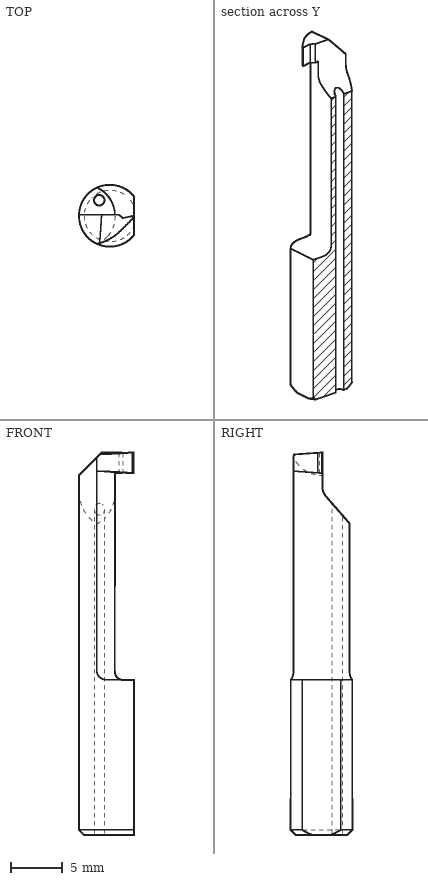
import cadquery as cq
import math

total_length = 37.0
shank_radius = 3.0
flat_x = 2.35
shank_height = 15.0
base_chamfer = 0.5

neck_radius = shank_radius
neck_edge_x = 0.5
neck_fillet = 0.8
neck_axis_x = neck_edge_x - neck_radius
neck_corner_x = neck_axis_x / 2
neck_corner_y = math.sqrt(shank_radius**2 - neck_corner_x**2)

groove_width = 2.0
tip_x = 2.3
tip_y = 0.0
tip_land_end = (2.15, -0.34)
heel_start = (0.8, -1.68)
heel_middle = (-0.25, -2.37)
relief_angle = 4.0
nose_chamfer = 2.2

flat_y = 0.1
flat_bottom_z = 33.65
runout_angle = 41.0
runout_radius = 1.35

chip_start_x = 0.87
chip_valley = (1.25, -0.22)

coolant_x = -1.03
coolant_y = 1.5
coolant_diameter = 1.0

big = 3 * shank_radius


def bar():
    """Full-length round bar with a chamfered base end."""
    body = cq.Workplane("XY").circle(shank_radius).extrude(total_length)
    return body.faces("<Z").chamfer(base_chamfer)


def shank_and_neck():
    """Revolved envelope of ledge, fillet and neck, limited to the bar and its flat."""
    ledge_radius = 2 * big
    bend = neck_fillet * (1 - math.sqrt(0.5))
    profile = (
        cq.Workplane("XZ")
        .moveTo(0, 0)
        .lineTo(ledge_radius, 0)
        .lineTo(ledge_radius, shank_height)
        .lineTo(neck_radius + neck_fillet, shank_height)
        .threePointArc(
            (neck_radius + bend, shank_height + bend),
            (neck_radius, shank_height + neck_fillet),
        )
        .lineTo(neck_radius, total_length)
        .lineTo(0, total_length)
        .close()
    )
    envelope = profile.revolve(360, (0, 0, 0), (0, 1, 0)).translate((neck_axis_x, 0, 0))
    flat_limit = cq.Workplane("XY").box(
        2 * big, 2 * big, total_length, centered=(True, True, False)
    ).translate((flat_x - big, 0, 0))
    return bar().intersect(envelope).intersect(flat_limit)


def head():
    """Tooth whose lower flank rises away from the cutting edge."""
    blank_height = 2 * groove_width
    blank = (
        cq.Workplane("XY")
        .workplane(offset=total_length - blank_height)
        .moveTo(neck_corner_x, flat_y)
        .lineTo(chip_start_x, flat_y)
        .lineTo(*chip_valley)
        .lineTo(tip_x, tip_y)
        .lineTo(*tip_land_end)
        .lineTo(*heel_start)
        .threePointArc(heel_middle, (neck_corner_x, -neck_corner_y))
        .close()
        .extrude(blank_height)
    )
    rise = big * math.tan(math.radians(relief_angle))
    bottom_z = total_length - groove_width
    below = (
        cq.Workplane("YZ")
        .polyline([(big, bottom_z), (0, bottom_z), (-big, bottom_z + rise), (-big, 0), (big, 0)])
        .close()
        .extrude(big, both=True)
    )
    return blank.cut(below)


def top_relief():
    """Wedge that lowers the end face from the cutting edge towards -Y."""
    drop = big * math.tan(math.radians(relief_angle))
    return (
        cq.Workplane("YZ")
        .polyline([(0, total_length), (-big, total_length), (-big, total_length - drop)])
        .close()
        .extrude(big, both=True)
    )


def nose_bevel():
    """45 degree bevel on the -X side of the free end."""
    start_z = total_length - nose_chamfer
    reach = nose_chamfer + big
    return (
        cq.Workplane("XZ")
        .polyline(
            [
                (-shank_radius - big, start_z - big),
                (-shank_radius + reach, start_z + reach),
                (-shank_radius - big, start_z + reach),
            ]
        )
        .close()
        .extrude(big, both=True)
    )


def flat_relief():
    """Removes the +Y half of the free end, with a rounded sloping run-out."""
    angle = math.radians(runout_angle)
    centre_y = flat_y + runout_radius

    def on_arc(turn):
        return (
            centre_y - runout_radius * math.cos(turn),
            flat_bottom_z - runout_radius * math.sin(turn),
        )

    slope_start = on_arc(angle)
    slope_end = (slope_start[0] + big * math.sin(angle), slope_start[1] - big * math.cos(angle))
    return (
        cq.Workplane("YZ")
        .moveTo(flat_y, total_length)
        .lineTo(flat_y, flat_bottom_z)
        .threePointArc(on_arc(angle / 2), slope_start)
        .lineTo(*slope_end)
        .lineTo(slope_end[0], total_length)
        .close()
        .extrude(big, both=True)
    )


def coolant_hole():
    """Straight hole through the bar, opening on the run-out slope."""
    return (
        cq.Workplane("XY")
        .center(coolant_x, coolant_y)
        .circle(coolant_diameter / 2)
        .extrude(total_length)
    )


result = shank_and_neck().union(head())
for cutter in (top_relief(), nose_bevel(), flat_relief(), coolant_hole()):
    result = result.cut(cutter)